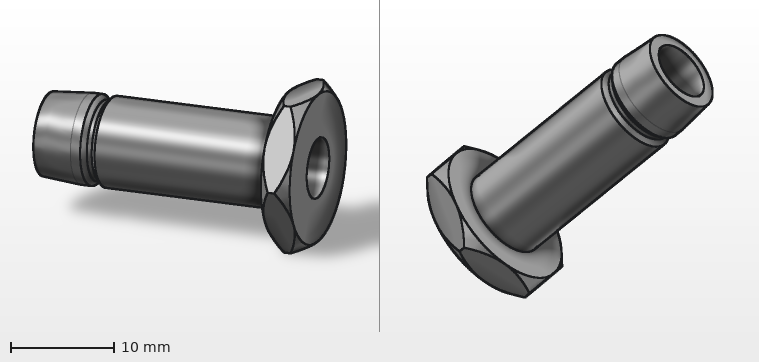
import cadquery as cq
import math

total_length = 28.0
bore_diameter = 6.0
shank_radius = 4.5

head_thickness = 3.0
across_flats = 15.0
across_corners = across_flats / math.cos(math.pi / 6)
head_start = total_length - head_thickness

tip_radius = 4.17
nose_length = 4.0
groove_start = 5.0
groove_depth = 0.5
groove_floor_width = 0.5
floor_start = groove_start + groove_depth
floor_end = floor_start + groove_floor_width
groove_end = floor_end + groove_depth
floor_radius = shank_radius - groove_depth


def make_shank():
    """Revolve the shank with its tapered nose and its 45 degree groove walls."""
    profile = (
        cq.Workplane("XY")
        .lineTo(0, tip_radius)
        .lineTo(nose_length, shank_radius)
        .lineTo(groove_start, shank_radius)
        .lineTo(floor_start, floor_radius)
        .lineTo(floor_end, floor_radius)
        .lineTo(groove_end, shank_radius)
        .lineTo(total_length, shank_radius)
        .lineTo(total_length, 0)
        .close()
    )
    return profile.revolve(360, (0, 0, 0), (1, 0, 0))


def make_head():
    """Make a hexagon, with corners on Y, whose corners are chamfered at 45 degrees on both faces."""
    hexagon = (
        cq.Workplane("YZ", origin=(head_start, 0, 0))
        .polygon(6, across_corners)
        .extrude(head_thickness)
    )
    face_radius = across_flats / 2
    middle_radius = face_radius + head_thickness / 2
    envelope = (
        cq.Workplane("XY")
        .moveTo(head_start, 0)
        .lineTo(head_start, face_radius)
        .lineTo(head_start + head_thickness / 2, middle_radius)
        .lineTo(total_length, face_radius)
        .lineTo(total_length, 0)
        .close()
        .revolve(360, (0, 0, 0), (1, 0, 0))
    )
    return hexagon.intersect(envelope)


bore = cq.Workplane("YZ").circle(bore_diameter / 2).extrude(total_length)
result = make_shank().union(make_head()).cut(bore)